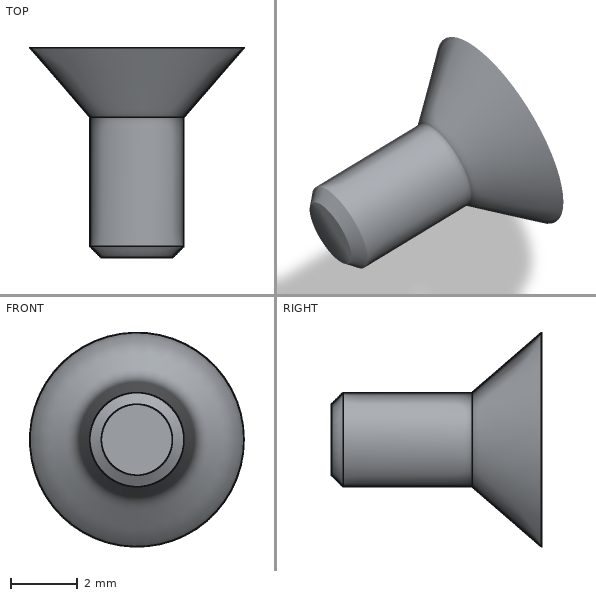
import cadquery as cq

head_diameter = 6.48
shank_diameter = 2.845
total_length = 6.35
head_height = 2.1
tip_chamfer = 0.35

head_radius = head_diameter / 2
shank_radius = shank_diameter / 2
shank_length = total_length - head_height

profile = (
    cq.Workplane("XY")
    .lineTo(shank_radius - tip_chamfer, 0)
    .lineTo(shank_radius, tip_chamfer)
    .lineTo(shank_radius, shank_length)
    .lineTo(head_radius, total_length)
    .lineTo(0, total_length)
    .close()
)

result = profile.revolve(360, (0, 0, 0), (0, 1, 0))